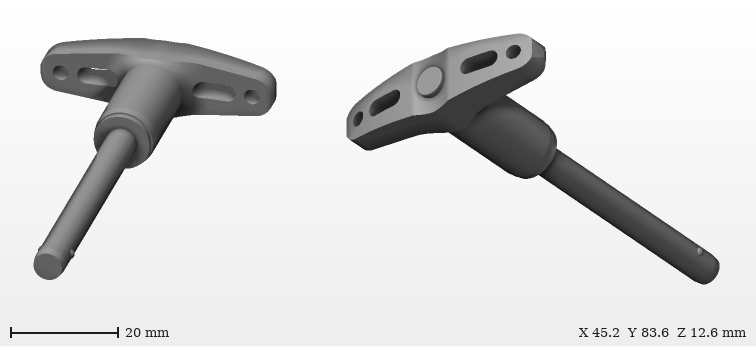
import cadquery as cq
import math


shank_radius = 3.0
shank_length = 52.0
shank_tip_length = 1.6
shank_tip_inset = 0.25

ball_radius = 1.0
ball_centre_x = 2.5
ball_y = -45.9

sleeve_radius = 5.9
nose_radius = 5.4
nose_length = 1.25
sleeve_taper_end_radius = 5.7
sleeve_taper_y = 2.75
flare_radius = 4.1

button_radius = shank_radius
button_top_y = 31.6
button_rim_radius = 0.25

handle_half_depth = 6.32
ridge_radius = 7.0
tip_radius = 3.94
tip_centre_x = 18.68

handle_half_length = 22.62
crown_y = 31.22
crown_flat_radius = 5.0
crown_end_x = 22.15
crown_end_y = 28.5
dip_y = 30.3
dip_radius = 9.5
dip_half_width = 3.6
underside_y = 25.1
underside_end_y = 24.1
rim_corner_radius = 1.15

hole_x = 18.5
hole_radius = 1.5
slot_inner_x = 7.15
slot_outer_x = 15.3
slot_width = 3.4


def mirrored(half):
    """The half on +X joined with its mirror image on -X."""
    return half.union(half.mirror("YZ"))


def bar_disc():
    """Turned disc with a domed crown, a sloping rim and a flare from underside to sleeve."""
    widest_y = underside_end_y + rim_corner_radius
    rim_slope = (handle_half_length - crown_end_x) / (crown_end_y - widest_y)
    rim_bottom_x = crown_end_x + rim_slope * (crown_end_y - underside_end_y)

    underside_slope = math.atan((underside_y - underside_end_y) / rim_bottom_x)
    flare_centre_x = sleeve_radius + flare_radius
    underside_at_centre = underside_y - flare_centre_x * math.tan(underside_slope)
    flare_centre_y = underside_at_centre - flare_radius / math.cos(underside_slope)
    flare_outer_x = flare_centre_x + flare_radius * math.sin(underside_slope)
    flare_outer_y = flare_centre_y + flare_radius * math.cos(underside_slope)

    disc = (
        cq.Workplane("XY")
        .moveTo(0, crown_y)
        .lineTo(crown_flat_radius, crown_y)
        .tangentArcPoint((crown_end_x, crown_end_y), relative=False)
        .lineTo(rim_bottom_x, underside_end_y)
        .lineTo(flare_outer_x, flare_outer_y)
        .radiusArc((sleeve_radius, flare_centre_y), -flare_radius)
        .lineTo(0, flare_centre_y)
        .close()
        .revolve(360, (0, 0, 0), (0, 1, 0))
    )
    rim_corner = cq.selectors.NearestToPointSelector((0, underside_end_y, 0))
    return disc.edges(rim_corner).fillet(rim_corner_radius)


def crown_dip():
    """Trough across the middle of the crown, with rounded shoulders, running along Z."""
    dip_angle = math.asin(dip_half_width / dip_radius)
    dip_edge_y = dip_y + dip_radius * (1 - math.cos(dip_angle))
    dip_shoulder_radius = (crown_y - dip_edge_y) / (1 - math.cos(dip_angle))
    shoulder_x = dip_half_width + dip_shoulder_radius * math.sin(dip_angle)
    return (
        cq.Workplane("XY")
        .moveTo(-shoulder_x, crown_y)
        .radiusArc((-dip_half_width, dip_edge_y), dip_shoulder_radius)
        .threePointArc((0, dip_y), (dip_half_width, dip_edge_y))
        .radiusArc((shoulder_x, crown_y), dip_shoulder_radius)
        .close()
        .extrude(handle_half_depth, both=True)
    )


def bar_outline():
    """Diamond seen along Y: rounded ridges at the middle, rounded tips at the ends."""
    ridge_centre_z = handle_half_depth - ridge_radius
    centre_distance = math.hypot(tip_centre_x, ridge_centre_z)
    lean = math.atan2(-ridge_centre_z, tip_centre_x)
    taper = math.asin((ridge_radius - tip_radius) / centre_distance) - lean
    ridge_x = ridge_radius * math.sin(taper)
    ridge_z = ridge_centre_z + ridge_radius * math.cos(taper)
    tangent_x = tip_centre_x + tip_radius * math.sin(taper)
    tangent_z = tip_radius * math.cos(taper)
    tip_x = tip_centre_x + tip_radius
    return (
        cq.Workplane("XZ")
        .moveTo(-ridge_x, ridge_z)
        .threePointArc((0, handle_half_depth), (ridge_x, ridge_z))
        .lineTo(tangent_x, tangent_z)
        .threePointArc((tip_x, 0), (tangent_x, -tangent_z))
        .lineTo(ridge_x, -ridge_z)
        .threePointArc((0, -handle_half_depth), (-ridge_x, -ridge_z))
        .lineTo(-tangent_x, -tangent_z)
        .threePointArc((-tip_x, 0), (-tangent_x, tangent_z))
        .close()
        .extrude(-button_top_y)
    )


def bar_openings():
    """A round hole and a long slot through each arm of the bar."""
    slot_length = slot_outer_x - slot_inner_x
    slot_x = (slot_outer_x + slot_inner_x) / 2
    hole = cq.Workplane("XZ").center(hole_x, 0).circle(hole_radius).extrude(-button_top_y)
    slot = cq.Workplane("XZ").center(slot_x, 0).slot2D(slot_length, slot_width).extrude(-button_top_y)
    return mirrored(hole).union(mirrored(slot))


def turned_body():
    """Shank, stepped sleeve and button, turned about the pin axis."""
    tip_y = -shank_length
    return (
        cq.Workplane("XY")
        .moveTo(0, tip_y)
        .lineTo(shank_radius - shank_tip_inset, tip_y)
        .lineTo(shank_radius, tip_y + shank_tip_length)
        .lineTo(shank_radius, 0)
        .lineTo(nose_radius, 0)
        .lineTo(nose_radius, nose_length)
        .lineTo(sleeve_taper_end_radius, nose_length)
        .lineTo(sleeve_radius, sleeve_taper_y)
        .lineTo(sleeve_radius, underside_y)
        .lineTo(button_radius, underside_y)
        .lineTo(button_radius, button_top_y - button_rim_radius)
        .radiusArc((button_radius - button_rim_radius, button_top_y), -button_rim_radius)
        .lineTo(0, button_top_y)
        .close()
        .revolve(360, (0, 0, 0), (0, 1, 0))
    )


def locking_balls():
    """Two opposite balls that stand proud of the shank near its tip."""
    ball = cq.Workplane("XY").sphere(ball_radius).translate((ball_centre_x, ball_y, 0))
    return mirrored(ball)


handle = bar_disc().cut(crown_dip()).intersect(bar_outline())
handle = handle.cut(bar_openings())
result = handle.union(turned_body()).union(locking_balls())